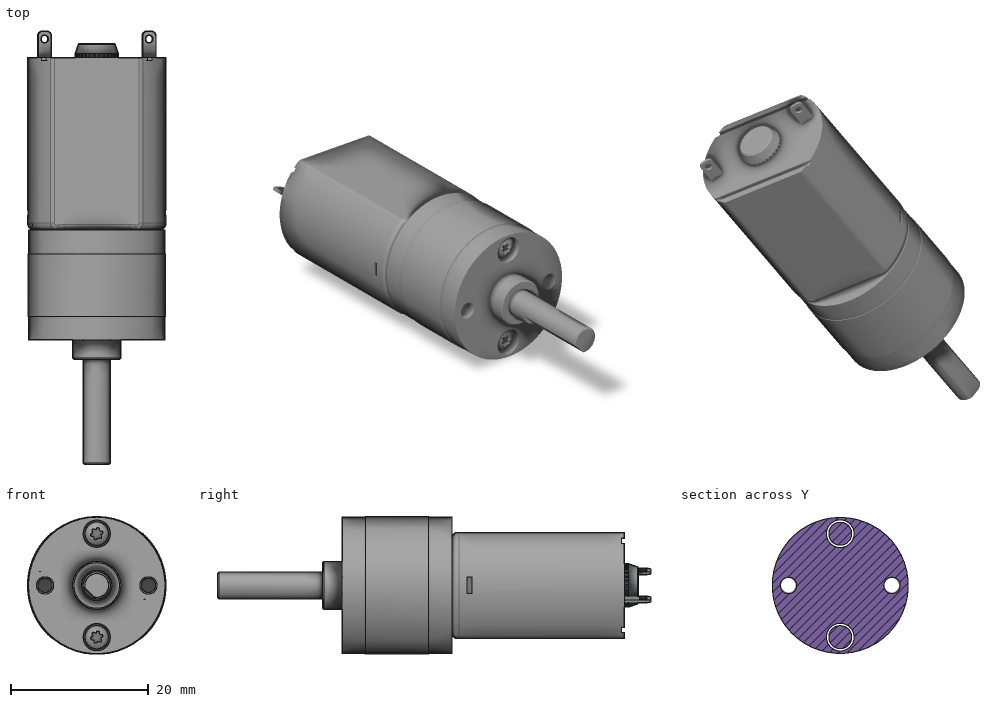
import cadquery as cq
import math


ring_diameter = 20.0
plate_diameter = 19.8
cover_length = 3.4
ring_length = 9.1
adapter_length = 3.45

motor_diameter = 20.1
motor_flat_height = 15.4
motor_length = 25.0
motor_flat_edge_radius = 0.8
motor_front_radius = 1.0

window_length = 0.75
window_height = 2.4
window_depth = 0.5
window_from_front = 2.5

rear_slot_height = 0.7
rear_slot_depth = 0.4
rear_slot_offset = 6.46

boss_diameter = 7.0
boss_length = 2.85
boss_chamfer = 0.2
boss_bore_diameter = 4.4
boss_bore_depth = 1.0
shaft_diameter = 3.95
shaft_length = 18.09
shaft_chamfer = 0.25
shaft_flat_length = 12.0
shaft_flat_offset = 1.5
shaft_flat_angle = 225.0

cover_feature_radius = 7.5
mount_thread_inner_diameter = 2.07
mount_thread_outer_diameter = 2.5
mount_thread_pitch = 0.4
mount_thread_turns = 8

recess_diameter = 3.95
recess_depth = 1.6
screw_head_diameter = 3.4
screw_head_height = 1.2
screw_dome_height = 0.7
drive_circle_diameter = 1.3
drive_lobe_diameter = 0.5
drive_lobe_count = 6
drive_depth = 0.8
drive_start_angle = 75.0

rear_boss_diameter = 6.3
rear_boss_end_diameter = 5.3
rear_boss_base_length = 0.6
rear_boss_length = 2.05
rear_boss_chamfer = 0.15
knurl_count = 30
knurl_width = 0.25
knurl_depth = 0.2

terminal_length = 3.85
terminal_width = 2.0
terminal_thickness = 0.4
terminal_radius = 7.85
terminal_angle = 15.0
terminal_tilt = 17.0
terminal_corner_radius = 0.7
terminal_hole_diameter = 1.1
terminal_hole_from_tip = 1.15
terminal_embed = 1.0

motor_front = cover_length + ring_length + adapter_length
motor_rear = motor_front + motor_length


def rod(diameter, start, end, x=0.0, z=0.0):
    """Cylinder along Y from `start` to `end`."""
    direction = cq.Vector(0, 1, 0)
    base = cq.Vector(x, start, z)
    return cq.Workplane(cq.Solid.makeCylinder(diameter / 2, end - start, base, direction))


def cone(start_diameter, end_diameter, start, end, x=0.0):
    """Truncated cone along Y from `start` to `end`."""
    direction = cq.Vector(0, 1, 0)
    base = cq.Vector(x, start, 0)
    solid = cq.Solid.makeCone(start_diameter / 2, end_diameter / 2, end - start, base, direction)
    return cq.Workplane(solid)


def turn(shape, angle):
    """Turn a shape about the Y axis, from +X towards +Z."""
    return shape.rotate((0, 0, 0), (0, 1, 0), -angle)


def make_gearbox():
    ring_end = cover_length + ring_length
    cover = rod(plate_diameter, 0, cover_length)
    ring = rod(ring_diameter, cover_length, ring_end)
    adapter = rod(plate_diameter, ring_end, motor_front)
    return cover.union(ring).union(adapter)


def make_motor():
    can = rod(motor_diameter, motor_front, motor_rear)
    can = can.faces("<Y").edges().fillet(motor_front_radius)
    flats = cq.Workplane("XY").box(motor_diameter, 2 * motor_rear, motor_flat_height)
    can = can.intersect(flats)
    can = can.faces(">Z or <Z").edges("not >Y").fillet(motor_flat_edge_radius)

    window = cq.Workplane("XY").box(2 * window_depth, window_length, window_height)
    rear_slot = cq.Workplane("XY").box(motor_diameter, 2 * rear_slot_depth, rear_slot_height)
    for side in (-1, 1):
        can = can.cut(window.translate((side * motor_diameter / 2, motor_front + window_from_front, 0)))
        can = can.cut(rear_slot.translate((0, motor_rear, side * rear_slot_offset)))
    return can


def make_boss():
    boss = rod(boss_diameter, -boss_length, 0).faces("<Y").edges().chamfer(boss_chamfer)
    return boss.cut(rod(boss_bore_diameter, -boss_length, -boss_length + boss_bore_depth))


def make_shaft():
    shaft = rod(shaft_diameter, -shaft_length, 0).faces("<Y").edges().chamfer(shaft_chamfer)
    flat_cut = cq.Workplane("XY").box(
        shaft_diameter, shaft_flat_length, 2 * shaft_diameter, centered=(False, False, True)
    ).translate((shaft_flat_offset, -shaft_length, 0))
    return shaft.cut(turn(flat_cut, shaft_flat_angle))


def make_mount_hole(x):
    """Threaded hole, with the thread made as a row of V-shaped ring grooves."""
    inner = mount_thread_inner_diameter
    outer = mount_thread_outer_diameter
    half_pitch = mount_thread_pitch / 2
    hole = rod(inner, 0, mount_thread_turns * mount_thread_pitch, x=x)
    for turn_index in range(mount_thread_turns):
        start = turn_index * mount_thread_pitch
        middle = start + half_pitch
        end = middle + half_pitch
        hole = hole.union(cone(outer, inner, start, middle, x=x))
        hole = hole.union(cone(inner, outer, middle, end, x=x))
    return hole


def make_screw(z):
    """Domed screw head with a six-lobed drive, standing on the floor of its recess."""
    head_top = recess_depth - screw_head_height
    rim = head_top + screw_dome_height
    head_radius = screw_head_diameter / 2
    dome_radius = (head_radius**2 + screw_dome_height**2) / (2 * screw_dome_height)
    middle_x = dome_radius * math.sin(math.asin(head_radius / dome_radius) / 2)
    middle_y = head_top + dome_radius - math.sqrt(dome_radius**2 - middle_x**2)
    head = (
        cq.Workplane("XY")
        .moveTo(0, head_top)
        .threePointArc((middle_x, middle_y), (head_radius, rim))
        .lineTo(head_radius, recess_depth)
        .lineTo(0, recess_depth)
        .close()
        .revolve(360, (0, 0, 0), (0, 1, 0))
    )
    drive_end = head_top + drive_depth
    drive = rod(drive_circle_diameter, 0, drive_end)
    for index in range(drive_lobe_count):
        angle = math.radians(drive_start_angle + index * 360 / drive_lobe_count)
        lobe_x = drive_circle_diameter / 2 * math.cos(angle)
        lobe_z = drive_circle_diameter / 2 * math.sin(angle)
        drive = drive.union(rod(drive_lobe_diameter, 0, drive_end, lobe_x, lobe_z))
    return head.cut(drive).translate((0, 0, z))


def make_rear_boss():
    base_end = motor_rear + rear_boss_base_length
    base = rod(rear_boss_diameter, motor_rear, base_end)
    groove = cq.Workplane("XY").box(
        2 * knurl_depth, rear_boss_base_length, knurl_width, centered=(True, False, True)
    ).translate((rear_boss_diameter / 2, motor_rear, 0))
    for index in range(knurl_count):
        base = base.cut(turn(groove, index * 360 / knurl_count))
    nose = cone(rear_boss_diameter, rear_boss_end_diameter, base_end, motor_rear + rear_boss_length)
    nose = nose.faces(">Y").edges().chamfer(rear_boss_chamfer)
    return base.union(nose)


def make_terminal(angle):
    tip = motor_rear + terminal_length
    length = terminal_length + terminal_embed
    tab = cq.Workplane("XY").box(terminal_width, length, terminal_thickness)
    tab = tab.faces(">Y").edges("|Z").fillet(terminal_corner_radius)
    hole = cq.Workplane("XY").circle(terminal_hole_diameter / 2).extrude(terminal_thickness, both=True)
    tab = tab.cut(hole.translate((0, length / 2 - terminal_hole_from_tip, 0)))
    tab = turn(tab, terminal_angle - terminal_tilt)
    return turn(tab.translate((terminal_radius, tip - length / 2, 0)), angle)


part = make_gearbox()
for side in (-1, 1):
    offset = side * cover_feature_radius
    part = part.cut(make_mount_hole(offset))
    part = part.cut(rod(recess_diameter, 0, recess_depth, z=offset))
    part = part.union(make_screw(offset))
part = part.union(make_motor()).union(make_boss()).union(make_shaft()).union(make_rear_boss())
for half_turn in (0, 180):
    part = part.union(make_terminal(half_turn - terminal_angle))

result = part